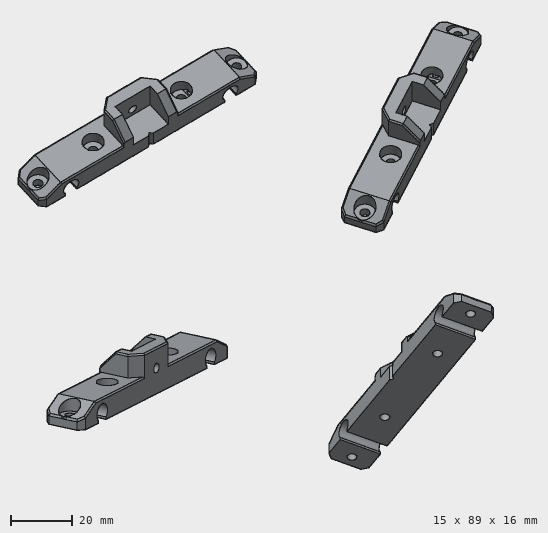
import cadquery as cq

bar_length = 89
bar_width = 15.0
bar_height = 8
bar_corner = 2.0
ramp_length = 8
tip_height = 3.5
edge_break = 0.5

total_height = 16
block_length = 22.1
block_corner = 4.0
block_flat = 9.0

pocket_start = 5.0
pocket_length = 14.2
pocket_floor = 6.0
notch_depth = 1.0

hole_x = bar_width / 2
screw_diameter = 3.2
head_diameter = 7.2
end_hole_y = 40.5
end_seat = 3.2
inner_hole_y = 18.0
inner_seat = 3.6
wedge_offset = 2.5
shelf_width = 1.9
shelf_height = 0.4

cross_hole_z = 9.0
channel_y = 32.5
channel_z = 3.0
channel_diameter = 6.2
channel_mouth = 4.5

half_length = bar_length / 2
half_block = block_length / 2


def cylinder(diameter, y, bottom, top):
    """Vertical cylinder on the centre line of the bar."""
    return (
        cq.Workplane("XY", origin=(hole_x, y, bottom))
        .circle(diameter / 2)
        .extrude(top - bottom)
    )


def make_bar():
    ramp_start = half_length - ramp_length
    bar = (
        cq.Workplane("YZ")
        .polyline([
            (-half_length, 0),
            (half_length, 0),
            (half_length, tip_height),
            (ramp_start, bar_height),
            (-ramp_start, bar_height),
            (-half_length, tip_height),
        ])
        .close()
        .extrude(bar_width)
        .edges("|Z")
        .chamfer(bar_corner)
    )
    upper_faces = [f for f in bar.faces().vals() if f.normalAt().z > 0.1]
    shared_ridges = bar.edges("|X and >Z").vals()
    outer_edges = [
        e for face in upper_faces for e in face.Edges()
        if not any(e.isSame(ridge) for ridge in shared_ridges)
    ]
    return bar.newObject(outer_edges).chamfer(edge_break)


def make_block():
    slope_end = total_height - (bar_width - block_flat)
    block = (
        cq.Workplane("XZ", origin=(0, half_block, 0))
        .polyline([
            (0, 0),
            (bar_width, 0),
            (bar_width, slope_end),
            (block_flat, total_height),
            (0, total_height),
        ])
        .close()
        .extrude(block_length)
        .edges("|Z and <X")
        .chamfer(block_corner)
    )
    upper_faces = [f for f in block.faces().vals() if f.normalAt().z > 0.1]
    ridge = block.edges("|Y and >Z").edges(">X").val()
    tail = block.faces(">X").edges(">Z").val()
    outer_edges = [
        e for face in upper_faces for e in face.Edges()
        if not e.isSame(ridge) and not e.isSame(tail)
    ]
    return block.newObject(outer_edges).chamfer(edge_break)


def cut_pocket(body):
    pocket = cq.Workplane("XY").box(
        bar_width, pocket_length, total_height, centered=(False, True, False)
    ).translate((pocket_start, 0, pocket_floor))
    notch = (
        cq.Workplane("XY")
        .polyline([
            (bar_width - notch_depth, 0),
            (bar_width, notch_depth),
            (bar_width, -notch_depth),
        ])
        .close()
        .extrude(total_height)
    )
    cross_hole = (
        cq.Workplane("YZ")
        .center(0, cross_hole_z)
        .circle(screw_diameter / 2)
        .extrude(bar_width)
    )
    return body.cut(pocket).cut(notch).cut(cross_hole)


def inner_head_recess(side):
    """Head recess whose outer side keeps a stepped 45 degree wedge on the seat."""
    recess = cylinder(head_diameter, side * inner_hole_y, inner_seat, bar_height)
    wedge_start = inner_hole_y + wedge_offset
    wedge_size = head_diameter / 2 - wedge_offset
    wedge = (
        cq.Workplane("YZ")
        .polyline([
            (side * wedge_start, inner_seat),
            (side * (wedge_start + wedge_size), inner_seat),
            (side * (wedge_start + wedge_size), inner_seat + wedge_size),
        ])
        .close()
        .extrude(bar_width)
    )
    shelf_cut = cq.Workplane("XY").box(
        shelf_width, 2 * wedge_size, wedge_size, centered=(True, True, False)
    ).translate((hole_x, side * (wedge_start + wedge_size), inner_seat + shelf_height))
    return recess.cut(wedge.cut(shelf_cut))


def cut_screw_holes(body):
    for side in (-1, 1):
        for y in (inner_hole_y, end_hole_y):
            body = body.cut(cylinder(screw_diameter, side * y, 0, bar_height))
        body = body.cut(cylinder(head_diameter, side * end_hole_y, end_seat, bar_height))
        body = body.cut(inner_head_recess(side))
    return body


def cut_channels(body):
    for side in (-1, 1):
        channel = (
            cq.Workplane("YZ")
            .center(side * channel_y, channel_z)
            .circle(channel_diameter / 2)
            .extrude(bar_width)
        )
        mouth = cq.Workplane("XY").box(
            bar_width, channel_mouth, channel_z, centered=(False, True, False)
        ).translate((0, side * channel_y, 0))
        body = body.cut(channel).cut(mouth)
    return body


body = make_bar().union(make_block())
body = cut_pocket(body)
body = cut_screw_holes(body)
result = cut_channels(body)